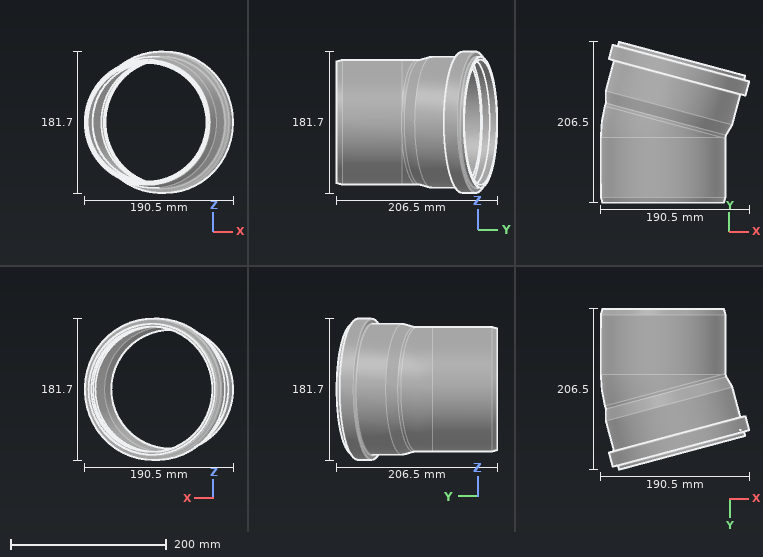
import cadquery as cq
import math


BEND_ANGLE = 15.0
BEND_RADIUS = 76.2

SPIGOT_OUTER_R = 160.15 / 2
SPIGOT_INNER_R = 152.15 / 2
SPIGOT_LENGTH = 83.8
LEAD_IN_LENGTH = 7.4
LEAD_IN_ANGLE = 15.0

SOCKET_WALL = 3.6
SOCKET_INNER_R = 161.0 / 2
SOCKET_OUTER_R = SOCKET_INNER_R + SOCKET_WALL
BEAD_INNER_R = 174.5 / 2
BEAD_OUTER_R = BEAD_INNER_R + SOCKET_WALL
LIP_INNER_R = 160.75 / 2
LIP_OUTER_R = LIP_INNER_R + SOCKET_WALL

CONE_START = 4.1
CONE_END = 19.0
BEAD_START = 59.3
BEAD_END = 78.4
MOUTH = 84.15
BEAD_FILLET = 1.0


def revolved_about_y(points):
    """Solid of revolution about the Y axis; the points are (radius, station along Y)."""
    return cq.Workplane("XY").polyline(points).close().revolve(360, (0, 0, 0), (0, 1, 0))


def on_socket_axis(shape):
    """Turn a shape built on the Y axis about the bend centre onto the socket axis."""
    return shape.rotate((BEND_RADIUS, 0, 0), (BEND_RADIUS, 0, 1), -BEND_ANGLE)


def swept_round_bend(section):
    """Revolve a section in the XZ plane by the bend angle, from the spigot towards the socket."""
    return section.revolve(BEND_ANGLE, (BEND_RADIUS, 1, 0), (BEND_RADIUS, 0, 0))


def bend_outside():
    """Swept disc, cut off at the bend centre, beyond which it would fold over itself."""
    half_chord = math.sqrt(SPIGOT_OUTER_R**2 - BEND_RADIUS**2)
    section = (
        cq.Workplane("XZ")
        .moveTo(BEND_RADIUS, half_chord)
        .threePointArc((-SPIGOT_OUTER_R, 0), (BEND_RADIUS, -half_chord))
        .close()
    )
    return swept_round_bend(section)


def bend_bore():
    return swept_round_bend(cq.Workplane("XZ").circle(SPIGOT_INNER_R))


def spigot_outside():
    tip_radius = SPIGOT_OUTER_R - LEAD_IN_LENGTH * math.tan(math.radians(LEAD_IN_ANGLE))
    return revolved_about_y([
        (0, -SPIGOT_LENGTH),
        (tip_radius, -SPIGOT_LENGTH),
        (SPIGOT_OUTER_R, LEAD_IN_LENGTH - SPIGOT_LENGTH),
        (SPIGOT_OUTER_R, 0),
        (0, 0),
    ])


def spigot_bore():
    return revolved_about_y([
        (0, -SPIGOT_LENGTH),
        (SPIGOT_INNER_R, -SPIGOT_LENGTH),
        (SPIGOT_INNER_R, 0),
        (0, 0),
    ])


def socket_outside():
    body = revolved_about_y([
        (0, 0),
        (SPIGOT_OUTER_R, 0),
        (SPIGOT_OUTER_R, CONE_START),
        (SOCKET_OUTER_R, CONE_END),
        (SOCKET_OUTER_R, BEAD_START),
        (BEAD_OUTER_R, BEAD_START),
        (BEAD_OUTER_R, BEAD_END),
        (LIP_OUTER_R, BEAD_END),
        (LIP_OUTER_R, MOUTH),
        (0, MOUTH),
    ])
    around_bead = cq.selectors.BoxSelector(
        (-BEAD_OUTER_R, BEAD_START - BEAD_FILLET, -BEAD_OUTER_R),
        (BEAD_OUTER_R, BEAD_END + BEAD_FILLET, BEAD_OUTER_R),
    )
    return body.edges("%CIRCLE").edges(around_bead).fillet(BEAD_FILLET)


def socket_bore():
    return revolved_about_y([
        (0, 0),
        (SPIGOT_INNER_R, 0),
        (SPIGOT_INNER_R, CONE_START),
        (SOCKET_INNER_R, CONE_END),
        (SOCKET_INNER_R, BEAD_START + SOCKET_WALL),
        (BEAD_INNER_R, BEAD_START + SOCKET_WALL),
        (BEAD_INNER_R, BEAD_END - SOCKET_WALL),
        (LIP_INNER_R, BEAD_END - SOCKET_WALL),
        (LIP_INNER_R, MOUTH),
        (0, MOUTH),
    ])


outside = spigot_outside().union(bend_outside()).union(on_socket_axis(socket_outside()))
result = outside.cut(spigot_bore()).cut(bend_bore()).cut(on_socket_axis(socket_bore()))